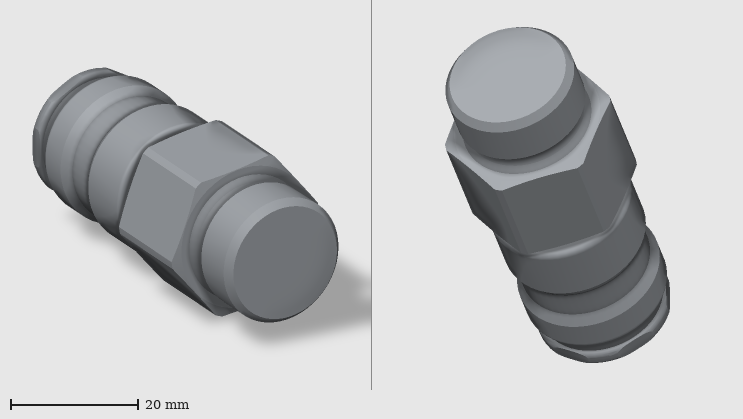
import cadquery as cq
import math


total_length = 60.5
collar_width = 2.5
hex_start = 31.4
hex_end = 48.6
groove_cone_end = 49.5
groove_bottom = 50.6
groove_arc_end = 52.0
thread_start = 52.35
thread_chamfer_length = 1.3

collar_diameter = 21.9
collar_edge_radius = 0.8
front_neck_diameter = 20.0
core_diameter = 18.95
thread_diameter = 20.95
thread_end_diameter = 18.9
groove_cone_diameter = 19.1
groove_arc_end_diameter = 19.85
groove_diameter = 18.35

hex_sides = 6
half_side_angle = 180 / hex_sides
collar_across_flats = 20.95
hex_across_flats = 24.0
hex_corner_diameter = 27.05
hex_face_diameter = 23.8
hex_chamfer_angle = 15.0
hex_turn = 9.3

sleeve_start = 5.15
front_band_end = 10.65
waist_start = 12.45
waist_end = 17.35
rear_band_start = 19.25
sleeve_end = 28.75

sleeve_diameter = 23.2
waist_diameter = 21.0
sleeve_front_radius = 1.1
sleeve_rear_radius = 0.9


def cylinder(start, end, diameter):
    """Cylinder along X from start to end."""
    return cq.Workplane("YZ", origin=(start, 0, 0)).circle(diameter / 2).extrude(end - start)


def hexagon(start, end, across_flats, corner_angle):
    """Hexagonal prism along X with one corner at corner_angle from the Y axis."""
    corner_circle = across_flats / math.cos(math.radians(half_side_angle))
    prism = cq.Workplane("YZ", origin=(start, 0, 0)).polygon(hex_sides, corner_circle).extrude(end - start)
    return prism.rotate((0, 0, 0), (1, 0, 0), corner_angle)


def turn(profile):
    """Revolve a closed profile, drawn as (x, radius), about the X axis."""
    return profile.close().revolve(360, (0, 0, 0), (1, 0, 0))


def make_collar():
    """Round-edged disc with six flats, two of them facing -Y and +Y."""
    disc = cylinder(0, collar_width, collar_diameter).edges().fillet(collar_edge_radius)
    return disc.intersect(hexagon(0, collar_width, collar_across_flats, half_side_angle))


def make_wrench_hexagon():
    """Hexagon with turned-off corners and a shallow cone at both ends."""
    corner_radius = hex_corner_diameter / 2
    face_radius = hex_face_diameter / 2
    cone_length = (corner_radius - face_radius) * math.tan(math.radians(hex_chamfer_angle))
    envelope = turn(
        cq.Workplane("XY")
        .moveTo(hex_start, 0)
        .lineTo(hex_start, face_radius)
        .lineTo(hex_start + cone_length, corner_radius)
        .lineTo(hex_end - cone_length, corner_radius)
        .lineTo(hex_end, face_radius)
        .lineTo(hex_end, 0)
    )
    return hexagon(hex_start, hex_end, hex_across_flats, hex_turn).intersect(envelope)


def make_thread_stub():
    """Plain thread cylinder with a chamfered tip, behind it a round groove between two cones."""
    thread_radius = thread_diameter / 2
    return turn(
        cq.Workplane("XY")
        .moveTo(hex_end, 0)
        .lineTo(hex_end, thread_radius)
        .lineTo(groove_cone_end, groove_cone_diameter / 2)
        .threePointArc((groove_bottom, groove_diameter / 2), (groove_arc_end, groove_arc_end_diameter / 2))
        .lineTo(thread_start, thread_radius)
        .lineTo(total_length - thread_chamfer_length, thread_radius)
        .lineTo(total_length, thread_end_diameter / 2)
        .lineTo(total_length, 0)
    )


def make_coupling_body():
    front_neck = cylinder(collar_width, sleeve_start, front_neck_diameter)
    core = cylinder(sleeve_start, hex_start, core_diameter)
    return (
        make_collar()
        .union(front_neck)
        .union(core)
        .union(make_wrench_hexagon())
        .union(make_thread_stub())
    )


def make_sleeve():
    """Waisted grip sleeve that sits on the core of the coupling body."""
    bore_radius = core_diameter / 2
    band_radius = sleeve_diameter / 2
    waist_radius = waist_diameter / 2
    sleeve = turn(
        cq.Workplane("XY")
        .moveTo(sleeve_start, bore_radius)
        .lineTo(sleeve_start, band_radius)
        .lineTo(front_band_end, band_radius)
        .lineTo(waist_start, waist_radius)
        .lineTo(waist_end, waist_radius)
        .lineTo(rear_band_start, band_radius)
        .lineTo(sleeve_end, band_radius)
        .lineTo(sleeve_end, bore_radius)
    )
    outer_edge = cq.selectors.RadiusNthSelector(-1)
    sleeve = sleeve.faces("<X").edges(outer_edge).fillet(sleeve_front_radius)
    return sleeve.faces(">X").edges(outer_edge).fillet(sleeve_rear_radius)


coupling_body = make_coupling_body()
sleeve = make_sleeve()

result = cq.Compound.makeCompound([coupling_body.val(), sleeve.val()])